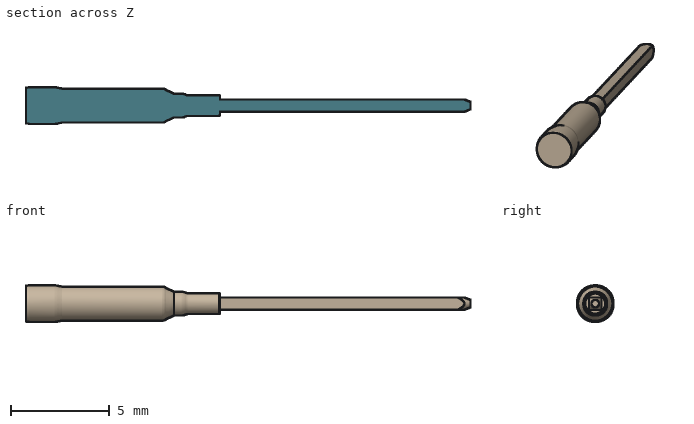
import cadquery as cq

total_length = 22.58

head_diameter = 1.87
head_face_diameter = 1.8
head_chamfer_diameter = 1.85
body_diameter = 1.74
cone_start_diameter = 1.58
neck_diameter = 1.22
sleeve_diameter = 1.05

head_chamfer_end = 0.07
head_full_start = 0.18
head_round_start = 1.47
head_round_end = 1.63
head_step_end = 1.85
body_end = 6.93
cone_start = 7.14
cone_end = 7.38
neck_start = 7.52
neck_end = 7.93
sleeve_start = 8.26
sleeve_end = 9.87

head_round_drop = 0.02
neck_round_drop = 0.07
sleeve_chamfer_length = 0.07
sleeve_chamfer_drop = 0.02

pin_width = 0.63
tip_diameter = 0.38
tip_flat_start = 22.26


def make_barrel():
    """Solid of revolution about X: head, body, cone, neck and sleeve."""
    head_radius = head_diameter / 2
    body_radius = body_diameter / 2
    neck_radius = neck_diameter / 2
    sleeve_radius = sleeve_diameter / 2
    shoulder_middle = ((neck_end + sleeve_start) / 2, (neck_radius + sleeve_radius) / 2)
    profile = (
        cq.Workplane("XY")
        .lineTo(0, head_face_diameter / 2)
        .lineTo(head_chamfer_end, head_chamfer_diameter / 2)
        .lineTo(head_full_start, head_radius)
        .lineTo(head_round_start, head_radius)
        .tangentArcPoint((head_round_end, head_radius - head_round_drop), relative=False)
        .lineTo(head_step_end, body_radius)
        .lineTo(body_end, body_radius)
        .tangentArcPoint((cone_start, cone_start_diameter / 2), relative=False)
        .lineTo(cone_end, neck_radius + neck_round_drop)
        .lineTo(neck_start, neck_radius)
        .lineTo(neck_end, neck_radius)
        .tangentArcPoint(shoulder_middle, relative=False)
        .tangentArcPoint((sleeve_start, sleeve_radius), relative=False)
        .lineTo(sleeve_end - sleeve_chamfer_length, sleeve_radius)
        .lineTo(sleeve_end, sleeve_radius - sleeve_chamfer_drop)
        .lineTo(sleeve_end, 0)
        .close()
    )
    return profile.revolve(360, (0, 0, 0), (1, 0, 0))


def make_pin():
    """Square pin along X, its free end turned to a blunt cone."""
    pin_length = total_length - sleeve_end
    square = (
        cq.Workplane("YZ")
        .workplane(offset=sleeve_end)
        .rect(pin_width, pin_width)
        .extrude(pin_length)
    )
    tip_radius = tip_diameter / 2
    cone_slope = (pin_width / 2 - tip_radius) / (total_length - tip_flat_start)
    envelope_radius = tip_radius + cone_slope * pin_length
    envelope = (
        cq.Workplane("XY")
        .moveTo(sleeve_end, 0)
        .lineTo(sleeve_end, envelope_radius)
        .lineTo(total_length, tip_radius)
        .lineTo(total_length, 0)
        .close()
        .revolve(360, (0, 0, 0), (1, 0, 0))
    )
    return square.intersect(envelope)


result = make_barrel().union(make_pin())